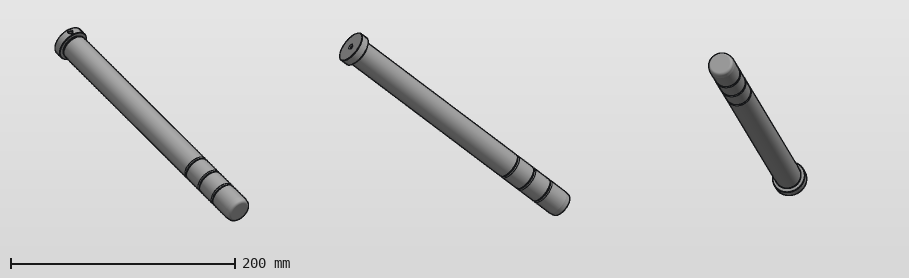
import cadquery as cq

length = 260.0
head_diameter = 30.0
head_length = 8.0
head_chamfer = 0.5
shaft_diameter = 24.0

neck_length = 1.5
neck_depth = 0.5

lead_length = 5.7
lead_drop = 0.5
nose_length = 2.5
nose_radius = 2.5

groove_count = 3
first_groove_center = 194.7
groove_pitch = 20.0
groove_width = 2.5
groove_depth = 0.5

countersink_diameter = 5.2
hole_diameter = 3.0
cross_hole_x = 3.6

head_radius = head_diameter / 2
shaft_radius = shaft_diameter / 2
neck_end = head_length + neck_length
neck_radius = shaft_radius - neck_depth


def make_body():
    """Revolve the plain headed pin, before grooves and holes."""
    lead_radius = shaft_radius - lead_drop
    profile = (
        cq.Workplane("XY")
        .lineTo(0, head_radius - head_chamfer)
        .lineTo(head_chamfer, head_radius)
        .lineTo(head_length - head_chamfer, head_radius)
        .lineTo(head_length, head_radius - head_chamfer)
        .lineTo(head_length, neck_radius)
        .lineTo(neck_end, neck_radius)
        .lineTo(neck_end, shaft_radius)
        .lineTo(length - lead_length, shaft_radius)
        .lineTo(length - nose_length, lead_radius)
        .radiusArc((length, lead_radius - nose_radius), nose_radius)
        .lineTo(length, 0)
        .close()
    )
    return profile.revolve(360, (0, 0, 0), (1, 0, 0))


def make_groove(center):
    """V-section ring that cuts one groove."""
    half_width = groove_width / 2
    section = (
        cq.Workplane("XY")
        .moveTo(center - half_width, shaft_radius)
        .lineTo(center, shaft_radius - groove_depth)
        .lineTo(center + half_width, shaft_radius)
        .lineTo(center + half_width, head_radius)
        .lineTo(center - half_width, head_radius)
        .close()
    )
    return section.revolve(360, (0, 0, 0), (1, 0, 0))


def make_hole(mouth, direction, depth):
    """Drilled hole with a conical countersink at its mouth."""
    countersink_depth = (countersink_diameter - hole_diameter) / 2
    drill = cq.Solid.makeCylinder(hole_diameter / 2, depth, mouth, direction)
    cone = cq.Solid.makeCone(
        countersink_diameter / 2, hole_diameter / 2, countersink_depth, mouth, direction
    )
    return drill.fuse(cone)


result = make_body()
for index in range(groove_count):
    result = result.cut(make_groove(first_groove_center + index * groove_pitch))

axial_depth = cross_hole_x + hole_diameter / 2
axial_hole = make_hole(cq.Vector(0, 0, 0), cq.Vector(1, 0, 0), axial_depth)
cross_mouth = cq.Vector(cross_hole_x, 0, head_radius)
cross_hole = make_hole(cross_mouth, cq.Vector(0, 0, -1), head_radius)
result = result.cut(axial_hole).cut(cross_hole)